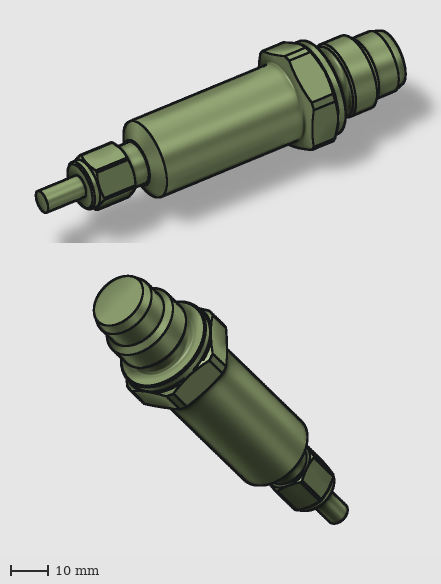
import cadquery as cq
import math


tip_radius = 7.8
plug_radius = 17.5 / 2
tip_taper_length = 2.8
collar_cone_at = 9.0
collar_at = 10.75
collar_radius = 21 / 2
collar_chamfer = 0.6

neck_radius = 18.3 / 2
neck_at = 18.95
front_undercut_fillet = 1.0
rear_undercut_fillet = 1.3

flange_at = 22.25
flange_radius = 26.9 / 2
flange_chamfer = 0.35

hex_flats = 27.0
hex_corner_radius = 30.0 / 2
hex_front_corner_at = 25.9
hex_front_angle = math.radians(30)
hex_front_fillet = 0.5
hex_rear_corner_at = 32.65
hex_rear_angle = math.radians(18)
hex_rear_fillet = 0.8

sleeve_radius = 22 / 2
sleeve_end_cone_at = 77.5
sleeve_end_radius = 6.5
sleeve_end_angle = math.radians(30)

gland_neck_radius = 12 / 2
nut_flats = 14.0
nut_corner_radius = 15.8 / 2
nut_at = 85.0
nut_end = 96.0
nut_cone_angle = math.radians(30)
washer_radius = 13.6 / 2
washer_end = 98.1
washer_chamfer = 0.5

cable_radius = 6.3 / 2
cable_end = 110.1

right_angle = math.radians(90)

corners_on_x = 0
corners_on_z = 90


def at(radius, distance):
    """Point of a turning profile: radius along X, distance back from the tip."""
    return (radius, -distance)


def turned(profile):
    """Close a profile that starts and ends on the Y axis and revolve it."""
    return profile.close().revolve(360, (0, 0, 0), (0, 1, 0))


def hex_prism(flats, start, end, turn):
    """Hexagonal bar along Y, turned about Y from having corners on X."""
    corner_diameter = flats / math.cos(math.pi / 6)
    return (
        cq.Workplane("XZ", origin=(0, -start, 0))
        .polygon(6, corner_diameter)
        .extrude(end - start)
        .rotate((0, 0, 0), (0, 1, 0), turn)
    )


def make_front():
    """Plug, collar, undercut and flange; the flange runs into the large hexagon."""
    collar_rear_radius = collar_radius - collar_chamfer
    front_centre_radius = neck_radius + front_undercut_fillet
    front_angle = math.acos((front_centre_radius - collar_rear_radius) / front_undercut_fillet)
    front_arc_at = neck_at - front_undercut_fillet * math.sin(front_angle)
    collar_end = front_arc_at - collar_chamfer
    front_arc_middle = at(
        front_centre_radius - front_undercut_fillet * math.cos(front_angle / 2),
        neck_at - front_undercut_fillet * math.sin(front_angle / 2),
    )
    rear_centre_radius = neck_radius + rear_undercut_fillet
    neck_end = flange_at - rear_undercut_fillet
    rear_arc_middle = at(
        rear_centre_radius - rear_undercut_fillet * math.cos(right_angle / 2),
        neck_end + rear_undercut_fillet * math.sin(right_angle / 2),
    )

    return turned(
        cq.Workplane("XY")
        .lineTo(*at(tip_radius, 0))
        .lineTo(*at(plug_radius, tip_taper_length))
        .lineTo(*at(plug_radius, collar_cone_at))
        .lineTo(*at(collar_radius, collar_at))
        .lineTo(*at(collar_radius, collar_end))
        .lineTo(*at(collar_rear_radius, front_arc_at))
        .threePointArc(front_arc_middle, at(neck_radius, neck_at))
        .lineTo(*at(neck_radius, neck_end))
        .threePointArc(rear_arc_middle, at(rear_centre_radius, flange_at))
        .lineTo(*at(flange_radius - flange_chamfer, flange_at))
        .lineTo(*at(flange_radius, flange_at + flange_chamfer))
        .lineTo(*at(flange_radius, hex_front_corner_at))
        .lineTo(*at(0, hex_front_corner_at))
    )


def hex_end_blend(shaft_radius, fillet, cone_angle, corner_at, side):
    """Points of a concave fillet between a hexagon end cone and a round shaft.

    The cone starts at the hexagon corner and leans from the flat face by
    cone_angle. side is -1 for the front end and +1 for the rear end.
    Returns the point on the cone, the middle point and the point on the shaft.
    """
    centre_radius = shaft_radius + fillet
    cone_point_radius = centre_radius - fillet * math.sin(cone_angle)
    cone_length = (hex_corner_radius - cone_point_radius) * math.tan(cone_angle)
    centre_at = corner_at + side * (cone_length + fillet * math.cos(cone_angle))
    middle_angle = (cone_angle + right_angle) / 2

    def arc_point(angle):
        return at(
            centre_radius - fillet * math.sin(angle),
            centre_at - side * fillet * math.cos(angle),
        )

    return arc_point(cone_angle), arc_point(middle_angle), at(shaft_radius, centre_at)


def make_hexagon():
    """Large hexagon, coned at both ends and blended into flange and sleeve."""
    front_cone, front_middle, front_shaft = hex_end_blend(
        flange_radius, hex_front_fillet, hex_front_angle, hex_front_corner_at, -1
    )
    rear_cone, rear_middle, rear_shaft = hex_end_blend(
        sleeve_radius, hex_rear_fillet, hex_rear_angle, hex_rear_corner_at, 1
    )
    front_at = -front_shaft[1]
    rear_at = -rear_shaft[1]
    envelope = turned(
        cq.Workplane("XY")
        .moveTo(*at(0, front_at))
        .lineTo(*front_shaft)
        .threePointArc(front_middle, front_cone)
        .lineTo(*at(hex_corner_radius, hex_front_corner_at))
        .lineTo(*at(hex_corner_radius, hex_rear_corner_at))
        .lineTo(*rear_cone)
        .threePointArc(rear_middle, rear_shaft)
        .lineTo(*at(0, rear_at))
    )
    return envelope.intersect(hex_prism(hex_flats, front_at, rear_at, corners_on_z))


def make_rear():
    """Sleeve, gland neck, washer and cable; the sleeve starts inside the large hexagon."""
    sleeve_end = sleeve_end_cone_at + (sleeve_radius - sleeve_end_radius) * math.tan(sleeve_end_angle)
    return turned(
        cq.Workplane("XY")
        .moveTo(*at(0, hex_front_corner_at))
        .lineTo(*at(sleeve_radius, hex_front_corner_at))
        .lineTo(*at(sleeve_radius, sleeve_end_cone_at))
        .lineTo(*at(sleeve_end_radius, sleeve_end))
        .lineTo(*at(gland_neck_radius, sleeve_end))
        .lineTo(*at(gland_neck_radius, nut_end))
        .lineTo(*at(washer_radius, nut_end))
        .lineTo(*at(washer_radius, washer_end - washer_chamfer))
        .lineTo(*at(washer_radius - washer_chamfer, washer_end))
        .lineTo(*at(cable_radius, washer_end))
        .lineTo(*at(cable_radius, cable_end))
        .lineTo(*at(0, cable_end))
    )


def make_nut():
    """Small hexagon nut; its front cone starts on the flats, its rear cone on the washer."""
    front_face_radius = nut_flats / 2
    front_cone_length = (nut_corner_radius - front_face_radius) * math.tan(nut_cone_angle)
    rear_cone_length = (nut_corner_radius - washer_radius) * math.tan(nut_cone_angle)
    envelope = turned(
        cq.Workplane("XY")
        .moveTo(*at(0, nut_at))
        .lineTo(*at(front_face_radius, nut_at))
        .lineTo(*at(nut_corner_radius, nut_at + front_cone_length))
        .lineTo(*at(nut_corner_radius, nut_end - rear_cone_length))
        .lineTo(*at(washer_radius, nut_end))
        .lineTo(*at(0, nut_end))
    )
    return envelope.intersect(hex_prism(nut_flats, nut_at, nut_end, corners_on_x))


result = make_front().union(make_hexagon()).union(make_rear()).union(make_nut())